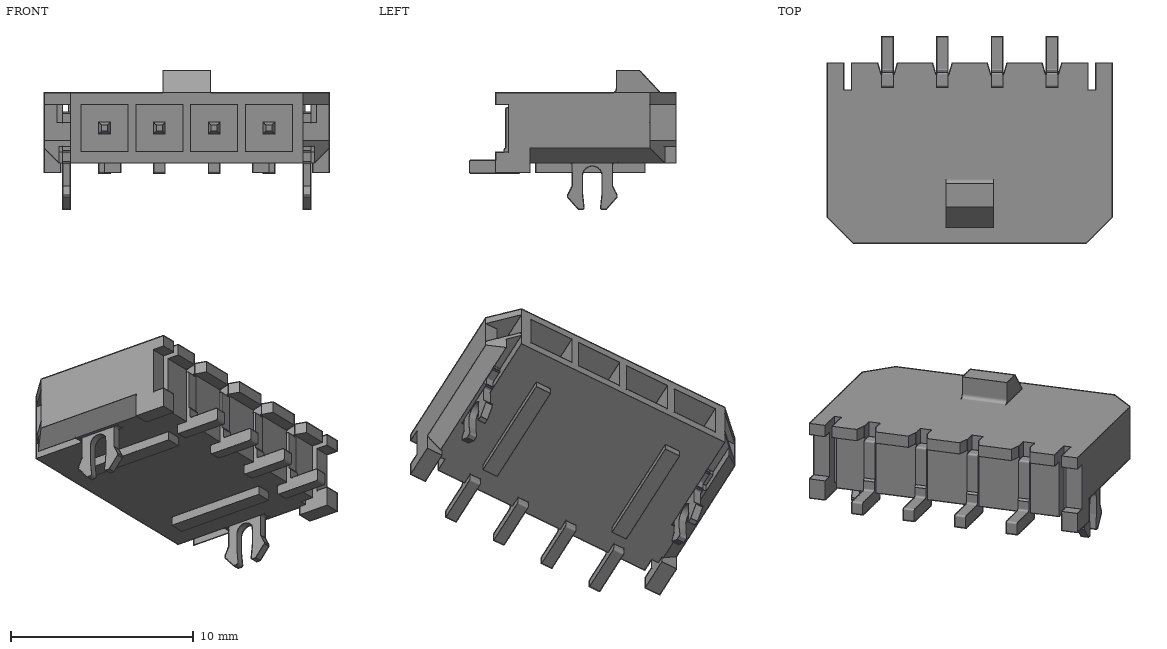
import cadquery as cq

POSITIONS = 4
PITCH = 3.0

WIDTH = 15.65
DEPTH = 9.9
HEIGHT = 3.87
CORNER = 1.44
UNDERCUT = 0.83
HALF_WIDTH = WIDTH / 2

REAR_WALL_Y = 9.2
OVERHANG_Z = 3.21
FOOT_TOP_Z = 0.61
FOOT_DROP = 0.52
FOOT_WIDTH = 0.92
FOOT_FRONT_Y = 8.01

RIB_WIDTH = 0.89
RIB_CENTRE_X = 4.05
RIB_FRONT_Y = 1.7
RIB_LENGTH = 6.01

CAVITY_SIZE = 2.57
CAVITY_DEPTH = 7.2
CAVITY_CENTRE_Z = 1.92

LATCH_WIDTH = 2.61
LATCH_TOP_Z = 5.09
LATCH_TOE_Y = 0.86
LATCH_CREST_Y = 2.0
LATCH_BACK_Y = 3.29
LATCH_ROOT_RADIUS = 0.22

STEP_FLOOR_Z = 1.25
POCKET_INSET = 0.72
POCKET_FLOOR_Z = 2.22
CHANNEL_INSET = 0.83
CHANNEL_ROOF_Z = 0.92
REAR_SLOT_WIDTH = 0.4
REAR_SLOT_FRONT_Y = 8.42

PIN_WIDTH = 0.64
PIN_TIP_WIDTH = 0.33
PIN_TIP_Y = 3.13
PIN_TAPER = 0.39
POST_FRONT_Y = 8.56
POST_BACK_Y = 9.36
POST_TOP_Z = 3.05
HEEL_BACK_Y = 9.45
HEEL_TOP_Z = 0.74
HEEL_SLOPE_TOP_Z = 0.86
TAIL_END_Y = 11.35
TAIL_TOP_Z = 0.17
TAIL_BOTTOM_Z = -0.56
PIN_ROUND = 0.11

NOTCH_MOUTH_WIDTH = 1.08
NOTCH_THROAT_WIDTH = 0.7
NOTCH_DEPTH = 0.64

CLIP_INSET = 1.02
CLIP_THICKNESS = CORNER - CLIP_INSET
CLIP_CENTRE_Y = 4.6
CLIP_TOP_Z = 2.82
CLIP_BOTTOM_Z = -2.54
HEAD_HALF = 2.19
HEAD_BOTTOM_Z = 0.61
NECK_HALF = 1.41
LEG_HALF = 1.11
GAP_HALF = 0.53
GAP_TIP_HALF = 0.44
GAP_TAPER_Z = -1.66
GAP_TOP_Z = -0.15
BARB_HALF = 1.36
BARB_TOP_Z = -1.25
BARB_CREST_Z = -1.75
BARB_CREST_HEIGHT = 0.11
TOE_HALF = 0.77
CLIP_ROUND = 0.1

HEAD_FRONT_Y = CLIP_CENTRE_Y - HEAD_HALF
NECK_FRONT_Y = CLIP_CENTRE_Y - NECK_HALF

PIN_X = [(i - (POSITIONS - 1) / 2) * PITCH for i in range(POSITIONS)]
SIDES = (-1, 1)


def block(x0, x1, y0, y1, z0, z1):
    """Axis-aligned block between two opposite corners."""
    return cq.Workplane("XY").box(x1 - x0, y1 - y0, z1 - z0, centered=False).translate((x0, y0, z0))


def side_block(side, inset0, inset1, y0, y1, z0, z1):
    """Block placed by its distance in from the left (-1) or right (+1) side of the housing."""
    left = block(inset0 - HALF_WIDTH, inset1 - HALF_WIDTH, y0, y1, z0, z1)
    return left if side < 0 else left.mirror("YZ")


def extrude_along_x(outline, x_start, width):
    """Extrude a closed YZ outline from x_start toward +X."""
    return outline.extrude(width).translate((x_start, 0, 0))


def housing_shell():
    """Block with cut corners, bevelled lower edges, stepped rear, feet and standoff ribs."""
    shell = block(-HALF_WIDTH, HALF_WIDTH, 0, DEPTH, 0, HEIGHT)
    shell = shell.cut(block(-HALF_WIDTH, HALF_WIDTH, REAR_WALL_Y, DEPTH, 0, OVERHANG_Z))
    for side in SIDES:
        x_side = side * HALF_WIDTH
        bevel = [(x_side, 0), (x_side - side * UNDERCUT, 0), (x_side, UNDERCUT)]
        bevel_cut = cq.Workplane("XZ").polyline(bevel).close().extrude(-FOOT_FRONT_Y)
        shell = shell.cut(bevel_cut)
        corner = [(x_side, 0), (x_side - side * CORNER, 0), (x_side, CORNER)]
        shell = shell.cut(cq.Workplane("XY").polyline(corner).close().extrude(HEIGHT))
        shell = shell.union(side_block(side, 0, FOOT_WIDTH, FOOT_FRONT_Y, DEPTH, -FOOT_DROP, FOOT_TOP_Z))
        rib_x = side * RIB_CENTRE_X - RIB_WIDTH / 2
        rib_back_y = RIB_FRONT_Y + RIB_LENGTH
        shell = shell.union(block(rib_x, rib_x + RIB_WIDTH, RIB_FRONT_Y, rib_back_y, -FOOT_DROP, 0))
    return shell


def latch():
    """Ramp on the top face with a filleted root behind it."""
    outline = (
        cq.Workplane("YZ")
        .moveTo(LATCH_TOE_Y, HEIGHT)
        .lineTo(LATCH_CREST_Y, LATCH_TOP_Z)
        .lineTo(LATCH_BACK_Y, LATCH_TOP_Z)
        .lineTo(LATCH_BACK_Y, HEIGHT + LATCH_ROOT_RADIUS)
        .radiusArc((LATCH_BACK_Y + LATCH_ROOT_RADIUS, HEIGHT), -LATCH_ROOT_RADIUS)
        .close()
    )
    return extrude_along_x(outline, -LATCH_WIDTH / 2, LATCH_WIDTH)


def pin_position_cut(x):
    """Everything removed from the housing at one pin: cavity, pin hole, rear slot and notch."""
    half_cavity = CAVITY_SIZE / 2
    half_pin = PIN_WIDTH / 2
    cavity = block(
        x - half_cavity, x + half_cavity,
        0, CAVITY_DEPTH,
        CAVITY_CENTRE_Z - half_cavity, CAVITY_CENTRE_Z + half_cavity,
    )
    hole = block(
        x - half_pin, x + half_pin,
        CAVITY_DEPTH, POST_FRONT_Y,
        CAVITY_CENTRE_Z - half_pin, CAVITY_CENTRE_Z + half_pin,
    )
    slot = block(x - half_pin, x + half_pin, POST_FRONT_Y, DEPTH, 0, HEIGHT)
    notch_outline = [
        (x - NOTCH_MOUTH_WIDTH / 2, DEPTH),
        (x - NOTCH_THROAT_WIDTH / 2, DEPTH - NOTCH_DEPTH),
        (x + NOTCH_THROAT_WIDTH / 2, DEPTH - NOTCH_DEPTH),
        (x + NOTCH_MOUTH_WIDTH / 2, DEPTH),
    ]
    notch = cq.Workplane("XY").polyline(notch_outline).close().extrude(HEIGHT)
    return cavity.union(hole).union(slot).union(notch)


def clip_side_cut(side):
    """Everything removed from the housing at one clip, including the seat that the clip fills."""
    step = side_block(side, 0, CORNER, 0, CORNER, STEP_FLOOR_Z, OVERHANG_Z)
    pocket = side_block(side, POCKET_INSET, CORNER, CORNER, HEAD_FRONT_Y, POCKET_FLOOR_Z, OVERHANG_Z)
    window = side_block(side, CLIP_INSET, CORNER, HEAD_FRONT_Y, REAR_SLOT_FRONT_Y, CLIP_TOP_Z, OVERHANG_Z)
    rear_slot = side_block(
        side, FOOT_WIDTH, FOOT_WIDTH + REAR_SLOT_WIDTH, REAR_SLOT_FRONT_Y, DEPTH, 0, HEIGHT
    )
    channel_upper = side_block(
        side, CHANNEL_INSET, CORNER, 0, HEAD_FRONT_Y, HEAD_BOTTOM_Z, CHANNEL_ROOF_Z
    )
    channel_lower = side_block(side, CHANNEL_INSET, CORNER, 0, NECK_FRONT_Y, 0, HEAD_BOTTOM_Z)
    recess = step
    for part in (pocket, window, rear_slot, channel_upper, channel_lower):
        recess = recess.union(part)
    return recess.union(make_clip(side))


def make_housing():
    housing = housing_shell().union(latch())
    for x in PIN_X:
        housing = housing.cut(pin_position_cut(x))
    for side in SIDES:
        housing = housing.cut(clip_side_cut(side))
    return housing


def make_pin(x):
    """Contact with a tapered square blade, an upright post and a solder tail."""
    half_pin = PIN_WIDTH / 2
    post_corners = [
        (POST_FRONT_Y, TAIL_BOTTOM_Z),
        (POST_FRONT_Y, POST_TOP_Z),
        (POST_BACK_Y, POST_TOP_Z),
    ]
    heel_slope = [
        (POST_BACK_Y, HEEL_SLOPE_TOP_Z),
        (HEEL_BACK_Y, HEEL_TOP_Z),
    ]
    tail_corners = [
        (HEEL_BACK_Y, TAIL_TOP_Z),
        (TAIL_END_Y, TAIL_TOP_Z),
        (TAIL_END_Y, TAIL_BOTTOM_Z),
    ]
    outline = post_corners + heel_slope + tail_corners
    post = extrude_along_x(cq.Workplane("YZ").polyline(outline).close(), -half_pin, PIN_WIDTH)
    for y, z in post_corners + tail_corners:
        post = post.edges(cq.selectors.NearestToPointSelector((0, y, z))).fillet(PIN_ROUND)

    taper_end_y = PIN_TIP_Y + PIN_TAPER
    blade = block(
        -half_pin, half_pin,
        taper_end_y, POST_FRONT_Y,
        CAVITY_CENTRE_Z - half_pin, CAVITY_CENTRE_Z + half_pin,
    )
    tip = (
        cq.Workplane("XZ", origin=(0, taper_end_y, CAVITY_CENTRE_Z))
        .rect(PIN_WIDTH, PIN_WIDTH)
        .workplane(offset=PIN_TAPER)
        .rect(PIN_TIP_WIDTH, PIN_TIP_WIDTH)
        .loft()
    )
    return post.union(blade).union(tip).translate((x, 0, 0))


def make_clip(side):
    """Flat forked clip: head and neck held in the housing, two barbed legs below."""
    shoulders = [
        (HEAD_HALF, CLIP_TOP_Z),
        (HEAD_HALF, HEAD_BOTTOM_Z),
        (NECK_HALF, HEAD_BOTTOM_Z),
        (NECK_HALF, 0),
        (LEG_HALF, 0),
    ]
    leg = [
        (LEG_HALF, BARB_TOP_Z),
        (BARB_HALF, BARB_CREST_Z),
        (BARB_HALF, BARB_CREST_Z - BARB_CREST_HEIGHT),
        (TOE_HALF, CLIP_BOTTOM_Z),
        (GAP_TIP_HALF, CLIP_BOTTOM_Z),
        (GAP_HALF, GAP_TAPER_Z),
        (GAP_HALF, GAP_TOP_Z - GAP_HALF),
    ]
    half_outline = shoulders + leg
    front_half = [(CLIP_CENTRE_Y - y, z) for y, z in half_outline]
    back_half = [(CLIP_CENTRE_Y + y, z) for y, z in reversed(half_outline)]
    outline = (
        cq.Workplane("YZ")
        .polyline(front_half)
        .threePointArc((CLIP_CENTRE_Y, GAP_TOP_Z), back_half[0])
        .polyline(back_half, includeCurrent=False)
        .close()
    )
    left_x = CLIP_INSET - HALF_WIDTH
    middle_x = left_x + CLIP_THICKNESS / 2
    clip = extrude_along_x(outline, left_x, CLIP_THICKNESS)
    softened = shoulders + [(GAP_TIP_HALF, CLIP_BOTTOM_Z)]
    for y, z in softened:
        for end in (-1, 1):
            corner = (middle_x, CLIP_CENTRE_Y + end * y, z)
            clip = clip.edges(cq.selectors.NearestToPointSelector(corner)).fillet(CLIP_ROUND)
    return clip if side < 0 else clip.mirror("YZ")


housing = make_housing()
pins = [make_pin(x) for x in PIN_X]
clips = [make_clip(side) for side in SIDES]

bodies = [housing, *pins, *clips]

result = cq.Compound.makeCompound([body.solids().val() for body in bodies])